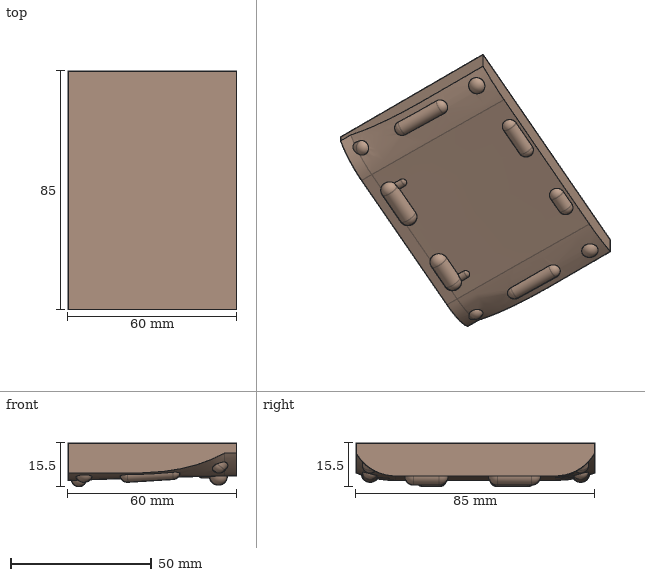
import cadquery as cq
import math

WIDTH = 60.0
LENGTH = 85.0
HEIGHT = 15.53
HALF_WIDTH = WIDTH / 2
HALF_LENGTH = LENGTH / 2
CUT_MARGIN = 5.0

MIDDLE_DEPTH_LEFT = 13.35
MIDDLE_DEPTH_RIGHT = 11.7
MIDDLE_POWER = 1.4
END_DEPTH_LEFT = 10.65
END_DEPTH_RIGHT = 3.6
FLAT_HALF_LENGTH = 28.5
RISE_START_X = -10.0
RISE_END_X = 25.7
RISE_POWER = 2.7
RISE_SECTIONS = 6

LEFT_RIB_RADIUS = 2.7
LEFT_RIB_X = -26.2
RIGHT_RIB_RADIUS = 3.2
RIGHT_RIB_X = 23.5
RIGHT_RIB_DEPTH = 15.0
LEFT_RIB_SPANS = [(7.8, 18.6), (-18.6, -12.9)]
RIGHT_RIB_SPANS = [(7.8, 20.0), (-22.0, -12.9)]

BEAD_RADIUS = 2.0
BEAD_INNER_X = 18.0
BEAD_DEPTH = 12.5

OUTER_Y = 37.5
END_RIB_RADIUS = 2.7
END_RIB_LEFT_X = -8.9
END_RIB_RIGHT_X = 7.2
END_RIB_DEPTH_LEFT = 14.0
END_RIB_DEPTH_RIGHT = 13.0

LEFT_DOME_RADIUS = 3.2
LEFT_DOME_X = -24.4
LEFT_DOME_DEPTH = 14.0
RIGHT_DOME_RADIUS = 2.8
RIGHT_DOME_START_X = 23.7
RIGHT_DOME_START_DEPTH = 10.7
RIGHT_DOME_END_X = 25.8
RIGHT_DOME_END_DEPTH = 8.2


def middle_depth(x):
    """Depth of the underside along Y = 0, levelling out toward +X."""
    share = (HALF_WIDTH - x) / WIDTH
    return MIDDLE_DEPTH_RIGHT + (MIDDLE_DEPTH_LEFT - MIDDLE_DEPTH_RIGHT) * share**MIDDLE_POWER


def end_depth(x):
    """Depth of the underside along the two Y ends."""
    share = (x - RISE_START_X) / (RISE_END_X - RISE_START_X)
    share = min(max(share, 0.0), 1.0)
    return END_DEPTH_LEFT - (END_DEPTH_LEFT - END_DEPTH_RIGHT) * share**RISE_POWER


def void_section(x):
    """Space below the underside at x: flat middle, tangent arcs up to both Y ends."""
    depth = middle_depth(x)
    edge = end_depth(x)
    run = HALF_LENGTH - FLAT_HALF_LENGTH
    rise = depth - edge
    radius = (run**2 + rise**2) / (2 * rise)
    half_angle = math.atan2(rise, run)
    mid_y = FLAT_HALF_LENGTH + radius * math.sin(half_angle)
    mid_z = -depth + radius * (1 - math.cos(half_angle))
    outer_y = HALF_LENGTH + CUT_MARGIN
    floor_z = -HEIGHT - CUT_MARGIN
    outline = (
        cq.Workplane("YZ", origin=(x, 0, 0))
        .moveTo(-outer_y, floor_z)
        .lineTo(-outer_y, -edge)
        .lineTo(-HALF_LENGTH, -edge)
        .threePointArc((-mid_y, mid_z), (-FLAT_HALF_LENGTH, -depth))
        .lineTo(FLAT_HALF_LENGTH, -depth)
        .threePointArc((mid_y, mid_z), (HALF_LENGTH, -edge))
        .lineTo(outer_y, -edge)
        .lineTo(outer_y, floor_z)
        .close()
    )
    return outline.val()


def make_block():
    """Rectangular block with the sculpted underside cut away."""
    block = cq.Workplane("XY").box(WIDTH, LENGTH, HEIGHT, centered=(True, True, False))
    block = block.translate((0, 0, -HEIGHT))
    step = (RISE_END_X - RISE_START_X) / RISE_SECTIONS
    stations = [-HALF_WIDTH, (RISE_START_X - HALF_WIDTH) / 2]
    stations += [RISE_START_X + i * step for i in range(RISE_SECTIONS + 1)]
    climbing_void = cq.Solid.makeLoft([void_section(x) for x in stations])
    level_void = cq.Solid.makeLoft([void_section(RISE_END_X), void_section(HALF_WIDTH)])
    return block.cut(cq.Workplane(climbing_void)).cut(cq.Workplane(level_void))


def dome(x, y, depth, radius):
    """Ball whose lowest point lies at the given depth."""
    return cq.Workplane("XY").sphere(radius).translate((x, y, radius - depth))


def rib(start, end, radius):
    """Round-ended bar between two (x, y, depth) points on its lowest line."""
    first = cq.Vector(start[0], start[1], radius - start[2])
    last = cq.Vector(end[0], end[1], radius - end[2])
    axis = last - first
    bar = cq.Workplane(cq.Solid.makeCylinder(radius, axis.Length, first, axis))
    return bar.union(dome(*start, radius)).union(dome(*end, radius))


def add_side_ribs(body):
    for low_y, high_y in LEFT_RIB_SPANS:
        start = (LEFT_RIB_X, low_y, HEIGHT)
        end = (LEFT_RIB_X, high_y, HEIGHT)
        body = body.union(rib(start, end, LEFT_RIB_RADIUS))
    for low_y, high_y in RIGHT_RIB_SPANS:
        start = (RIGHT_RIB_X, low_y, RIGHT_RIB_DEPTH)
        end = (RIGHT_RIB_X, high_y, RIGHT_RIB_DEPTH)
        body = body.union(rib(start, end, RIGHT_RIB_RADIUS))
        outer_y = max(low_y, high_y, key=abs)
        bead_start = (BEAD_INNER_X, outer_y, BEAD_DEPTH)
        bead_end = (RIGHT_RIB_X, outer_y, BEAD_DEPTH)
        body = body.union(rib(bead_start, bead_end, BEAD_RADIUS))
    return body


def add_end_features(body):
    for y in (-OUTER_Y, OUTER_Y):
        start = (END_RIB_LEFT_X, y, END_RIB_DEPTH_LEFT)
        end = (END_RIB_RIGHT_X, y, END_RIB_DEPTH_RIGHT)
        body = body.union(rib(start, end, END_RIB_RADIUS))
        body = body.union(dome(LEFT_DOME_X, y, LEFT_DOME_DEPTH, LEFT_DOME_RADIUS))
        dome_start = (RIGHT_DOME_START_X, y, RIGHT_DOME_START_DEPTH)
        dome_end = (RIGHT_DOME_END_X, y, RIGHT_DOME_END_DEPTH)
        body = body.union(rib(dome_start, dome_end, RIGHT_DOME_RADIUS))
    return body


result = add_end_features(add_side_ribs(make_block()))